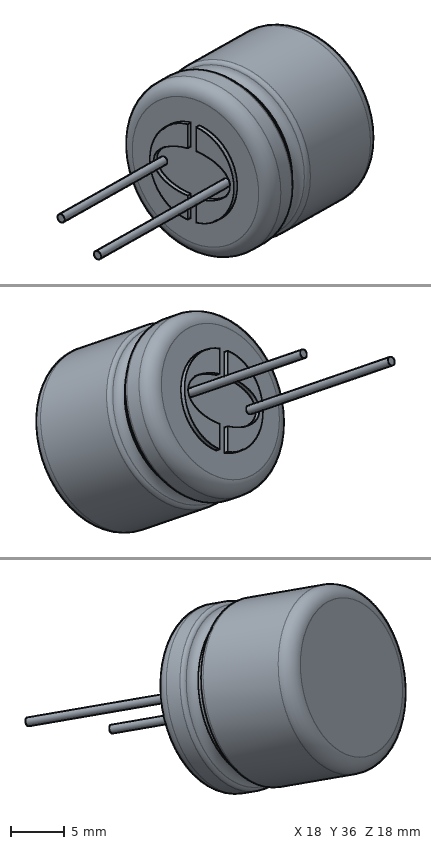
import cadquery as cq
import math

overall_length = 36.0
can_radius = 9.0
can_length = 16.5
can_back = overall_length / 2
can_front = can_back - can_length
end_round = 1.48

groove_y = can_front + 4.55
groove_depth = 1.0
groove_half_width = 1.4
lip_radius = 0.5

pad_radius = 5.0
pad_thickness = 0.5
pad_gap = 1.0
opening_half_width = 4.55
opening_half_height = 2.5

lead_radius = 0.45
lead_spacing = 7.5
long_lead_end = -overall_length / 2
short_lead_end = long_lead_end + 4.0


def make_shell(end_y, inward):
    """Turned half of the casing, from its flat end at end_y to the valley of the groove.

    The direction from the flat end toward the valley is inward: +1 or -1 along Y.
    """
    radius_sum = (groove_half_width**2 + groove_depth**2) / (2 * groove_depth)
    valley_radius = radius_sum - lip_radius
    tilt = math.asin(groove_half_width / radius_sum)
    groove_edge_y = groove_y - inward * groove_half_width
    valley_r = can_radius - groove_depth

    def lip_point(angle):
        return (
            can_radius - lip_radius * (1 - math.cos(angle)),
            groove_edge_y + inward * lip_radius * math.sin(angle),
        )

    valley_middle = (
        valley_r + valley_radius * (1 - math.cos(tilt / 2)),
        groove_y - inward * valley_radius * math.sin(tilt / 2),
    )
    round_inset = end_round * (1 - math.sqrt(0.5))
    profile = (
        cq.Workplane("XY")
        .moveTo(0, end_y)
        .lineTo(can_radius - end_round, end_y)
        .threePointArc(
            (can_radius - round_inset, end_y + inward * round_inset),
            (can_radius, end_y + inward * end_round),
        )
        .lineTo(can_radius, groove_edge_y)
        .threePointArc(lip_point(tilt / 2), lip_point(tilt))
        .threePointArc(valley_middle, (valley_r, groove_y))
        .lineTo(0, groove_y)
        .close()
    )
    return profile.revolve(360, (0, 0, 0), (0, 1, 0))


def make_pad(side):
    """C-shaped pad on one side of the central gap, side being -1 or +1 along X."""
    face = cq.Workplane("XZ", origin=(0, can_front, 0))
    disc = face.circle(pad_radius).extrude(pad_thickness)
    opening = face.ellipse(opening_half_width, opening_half_height).extrude(pad_thickness)
    half_center = side * (pad_gap / 2 + pad_radius / 2)
    half = face.center(half_center, 0).rect(pad_radius, 2 * pad_radius).extrude(pad_thickness)
    return disc.cut(opening).intersect(half)


def make_lead(side, end_y):
    """Round lead running from the front face of the base out to end_y."""
    face = cq.Workplane("XZ", origin=(side * lead_spacing / 2, can_front, 0))
    return face.circle(lead_radius).extrude(can_front - end_y)


can = make_shell(can_back, -1)
base = make_shell(can_front, 1)
pads = [make_pad(side) for side in (-1, 1)]
leads = [make_lead(side, end_y) for side, end_y in ((-1, short_lead_end), (1, long_lead_end))]

result = cq.Compound.makeCompound(
    [can.val(), base.val(), *[pad.val() for pad in pads], *[lead.val() for lead in leads]]
)